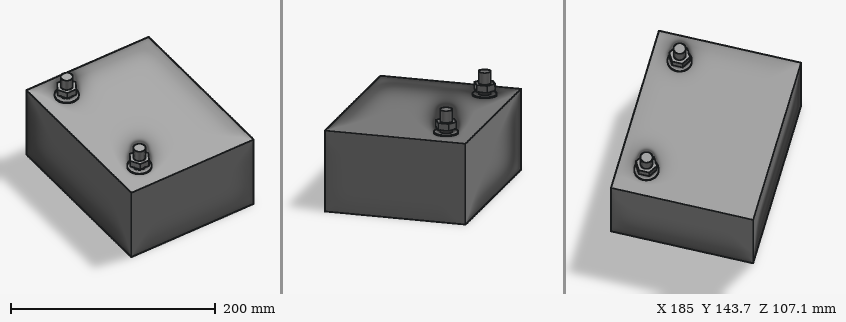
import cadquery as cq
import math

total_height = 107.1
housing_length = 185.0
housing_width = 143.7
stud_height = 24.0
housing_height = total_height - stud_height

stud_diameter = 12.0
stud_inset = 28.5
stud_x = housing_length / 2 - stud_inset
stud_y = -housing_width / 2 + stud_inset
stud_points = [(-stud_x, stud_y), (stud_x, stud_y)]

washer_diameter = 24.0
washer_thickness = 1.1
nut_across_flats = 18.3
nut_across_corners = nut_across_flats / math.cos(math.pi / 6)
nut_thickness = 7.0
nut_top_below_stud_top = 12.0
nut_base_z = total_height - nut_top_below_stud_top - nut_thickness


def make_housing():
    """Rectangular block with its terminal studs standing on the top face."""
    block = cq.Workplane("XY").box(
        housing_length, housing_width, housing_height, centered=(True, True, False)
    )
    studs = (
        cq.Workplane("XY", origin=(0, 0, housing_height))
        .pushPoints(stud_points)
        .circle(stud_diameter / 2)
        .extrude(stud_height)
    )
    return block.union(studs)


def make_washer(x, y):
    """Flat ring around a stud, resting on the housing."""
    return (
        cq.Workplane("XY", origin=(x, y, housing_height))
        .circle(washer_diameter / 2)
        .circle(stud_diameter / 2)
        .extrude(washer_thickness)
    )


def make_nut(x, y):
    """Hexagonal nut partway up a stud, with corners pointing along Y."""
    return (
        cq.Workplane("XY", origin=(x, y, nut_base_z))
        .transformed(rotate=(0, 0, 90))
        .polygon(6, nut_across_corners)
        .circle(stud_diameter / 2)
        .extrude(nut_thickness)
    )


housing = make_housing()
washers = [make_washer(x, y) for x, y in stud_points]
nuts = [make_nut(x, y) for x, y in stud_points]

result = cq.Compound.makeCompound([
    housing.val(),
    *[washer.val() for washer in washers],
    *[nut.val() for nut in nuts],
])